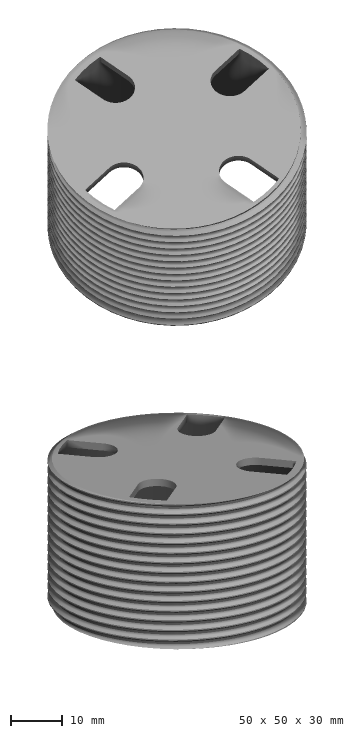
import cadquery as cq

outer_diameter = 50.0
height = 30.0

pitch = 2.0
thread_depth = 1.1
crest_width = 0.25
ridge_base_width = 1.5
ridge_embed = 0.2
overrun_turns = 2
core_overrun = 10.0
first_crest_height = 0.8
crest_radius = outer_diameter / 2
root_radius = crest_radius - thread_depth

plate_thickness = 1.5
cavity_radius = 23.1

slot_count = 4
slot_width = 7.5
slot_inner_reach = 11.9


def make_thread_ridge():
    """Helical ridge that runs past both ends of the body."""
    start_height = first_crest_height - overrun_turns * pitch
    turns = round(height / pitch) + 2 * overrun_turns
    embed_radius = root_radius - ridge_embed
    helix = cq.Wire.makeHelix(pitch, turns * pitch, embed_radius)
    path = cq.Workplane("XY").newObject([helix])
    half_crest = crest_width / 2
    flank_slope = (ridge_base_width - crest_width) / 2 / thread_depth
    half_base = half_crest + flank_slope * (thread_depth + ridge_embed)
    ridge = (
        cq.Workplane("XZ")
        .moveTo(embed_radius, -half_base)
        .lineTo(crest_radius, -half_crest)
        .lineTo(crest_radius, half_crest)
        .lineTo(embed_radius, half_base)
        .close()
        .sweep(path, isFrenet=True)
    )
    return ridge.translate((0, 0, start_height))


def make_threaded_body():
    """Solid core with the ridge, trimmed flat at both ends."""
    envelope = cq.Workplane("XY").rect(2 * outer_diameter, 2 * outer_diameter).extrude(height)
    core = (
        cq.Workplane("XY")
        .circle(root_radius)
        .extrude(height + 2 * core_overrun)
        .translate((0, 0, -core_overrun))
        .rotate((0, 0, 0), (0, 0, 1), 180)
    )
    return core.union(make_thread_ridge()).intersect(envelope)


def make_cavity():
    """Round cavity, open at the bottom."""
    return cq.Workplane("XY").circle(cavity_radius).extrude(height - plate_thickness)


def make_slots():
    """Radial slots, rounded inward and ended by the cavity wall outward."""
    arc_center = slot_inner_reach + slot_width / 2
    straight_length = cavity_radius - arc_center
    slot = (
        cq.Workplane("XY")
        .center(arc_center, 0)
        .slot2D(2 * straight_length + slot_width, slot_width)
        .extrude(height)
        .translate((straight_length, 0, 0))
    )
    slots = cq.Workplane("XY")
    for index in range(slot_count):
        slots = slots.add(slot.rotate((0, 0, 0), (0, 0, 1), index * 360 / slot_count))
    limit = cq.Workplane("XY").circle(cavity_radius).extrude(height)
    return slots.combine().intersect(limit)


result = make_threaded_body().cut(make_cavity()).cut(make_slots())